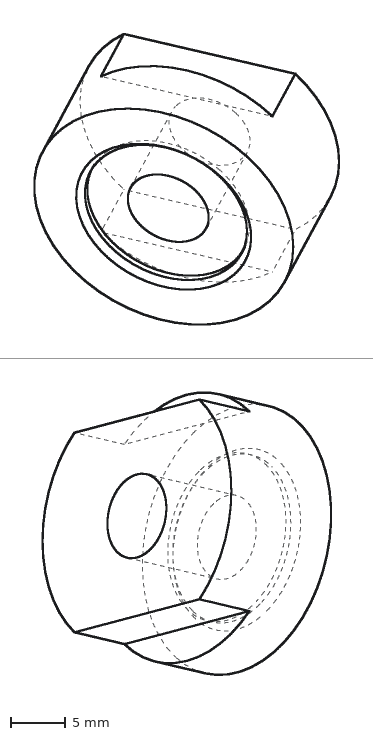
import cadquery as cq

outer_diameter = 25.4
thickness = 12.7
bore_diameter = 7.92

counterbore_diameter = 15.88
counterbore_depth = 1.27
chamfer_size = 0.64

across_flats = 19.05
flat_length = thickness / 2

front_y = -thickness / 2
rear_y = thickness / 2


def make_body():
    """Disc with a through bore, its front face at front_y."""
    front_plane = cq.Workplane("XZ", origin=(0, front_y, 0))
    return front_plane.circle(outer_diameter / 2).circle(bore_diameter / 2).extrude(-thickness)


def cut_counterbore(body):
    """Sink the flat-bottomed counterbore and chamfer its mouth."""
    counterbore_radius = counterbore_diameter / 2
    front_plane = cq.Workplane("XZ", origin=(0, front_y, 0))
    counterbore = front_plane.circle(counterbore_radius).extrude(-counterbore_depth)
    mouth_cone = cq.Solid.makeCone(
        counterbore_radius + chamfer_size,
        counterbore_radius,
        chamfer_size,
        pnt=cq.Vector(0, front_y, 0),
        dir=cq.Vector(0, 1, 0),
    )
    return body.cut(counterbore).cut(cq.Workplane(mouth_cone))


def make_flat_cutter(side):
    """Block outside one flat; side is +1 for the top and -1 for the bottom."""
    cut_height = (outer_diameter - across_flats) / 2
    center_y = rear_y - flat_length / 2
    center_z = side * (across_flats + cut_height) / 2
    return cq.Workplane().box(outer_diameter, flat_length, cut_height).translate((0, center_y, center_z))


result = cut_counterbore(make_body())
for side in (1, -1):
    result = result.cut(make_flat_cutter(side))